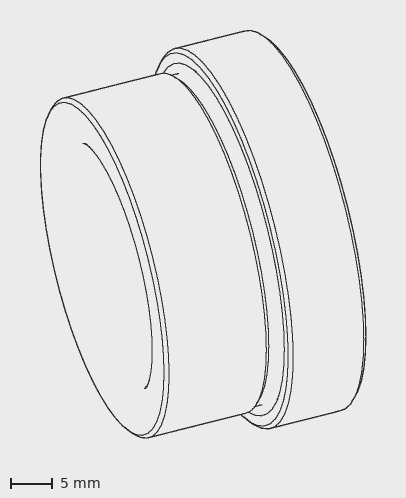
import cadquery as cq
import math

flange_radius = 47.0 / 2
body_radius = 42.0 / 2
groove_radius = 41.0 / 2
bore_radius = 30.0 / 2
total_length = 25.0
flange_length = 10.0

edge_chamfer = 0.45
groove_width = 1.5
bore_round = 2.0

undercut_mouth_radius = 21.75
undercut_fillet = 0.4

flange_face = total_length - flange_length
groove_start = flange_face - groove_width
groove_step = body_radius - groove_radius

diagonal = undercut_fillet * math.sin(math.radians(45))
arc_center_radius = groove_radius + undercut_fillet
cone_end_radius = arc_center_radius + diagonal
cone_end_y = flange_face + undercut_mouth_radius - cone_end_radius
arc_center_y = cone_end_y - diagonal

arc_middle_angle = math.radians(135 / 2)
arc_middle = (
    arc_center_radius - undercut_fillet * math.cos(arc_middle_angle),
    arc_center_y + undercut_fillet * math.sin(arc_middle_angle),
)

round_center_radius = bore_radius + bore_round
round_offset = bore_round * math.sin(math.radians(45))
round_middle = (round_center_radius - round_offset, bore_round - round_offset)

profile = (
    cq.Workplane("XY")
    .moveTo(bore_radius, bore_round)
    .threePointArc(round_middle, (round_center_radius, 0))
    .lineTo(body_radius - edge_chamfer, 0)
    .lineTo(body_radius, edge_chamfer)
    .lineTo(body_radius, groove_start - groove_step)
    .lineTo(groove_radius, groove_start)
    .lineTo(groove_radius, arc_center_y)
    .threePointArc(arc_middle, (cone_end_radius, cone_end_y))
    .lineTo(undercut_mouth_radius, flange_face)
    .lineTo(flange_radius - edge_chamfer, flange_face)
    .lineTo(flange_radius, flange_face + edge_chamfer)
    .lineTo(flange_radius, total_length - edge_chamfer)
    .lineTo(flange_radius - edge_chamfer, total_length)
    .lineTo(bore_radius, total_length)
    .close()
)

result = profile.revolve(360, (0, 0, 0), (0, 1, 0))